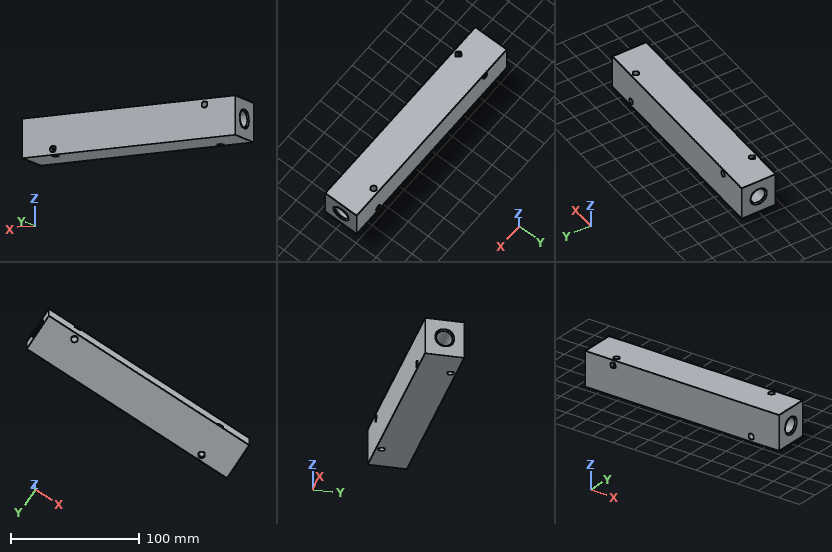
import cadquery as cq

length = 187.3
side = 31.7

bore_diameter = 13.1
mouth_diameter = 15.4
mouth_chamfer = (mouth_diameter - bore_diameter) / 2

hole_diameter = 5.0
hole_end_distance = 27.0
hole_edge_distance = 4.7
hole_x = length / 2 - hole_end_distance
hole_offset = side / 2 - hole_edge_distance


def bored_bar():
    """Square bar with the chamfered bore running end to end."""
    bar = cq.Workplane("YZ").rect(side, side).circle(bore_diameter / 2).extrude(length / 2, both=True)
    return bar.faces("<X or >X").edges("%CIRCLE").chamfer(mouth_chamfer)


def mounting_holes(plane, points):
    """Through-hole cutters, normal to the given plane."""
    return cq.Workplane(plane).pushPoints(points).circle(hole_diameter / 2).extrude(side, both=True)


holes_along_y = mounting_holes("XZ", [(-hole_x, hole_offset), (hole_x, -hole_offset)])
holes_along_z = mounting_holes("XY", [(-hole_x, -hole_offset), (hole_x, hole_offset)])

result = bored_bar().cut(holes_along_y).cut(holes_along_z)